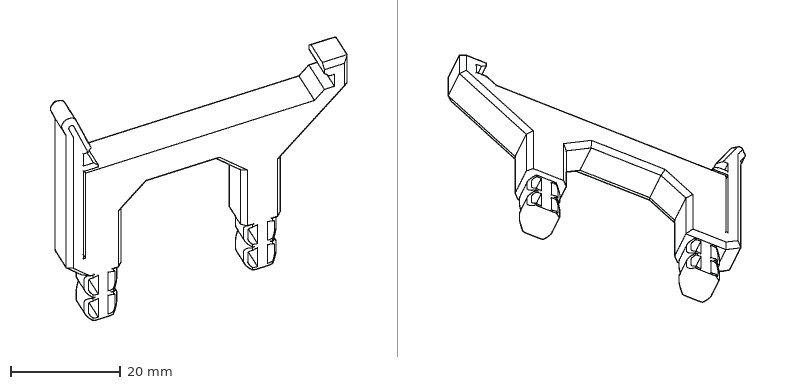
import cadquery as cq
import math


length = 57.3
height = 53.25
thickness = 7.0
bevel = 1.0

lobe_height = 6.0
lobe_overlap = 0.05
lobes_per_plug = 2
plug_width = 6.6
plug_thickness = 6.0
lobe_radius = 2.0
lobe_wall = 0.65
core_width = 2.0
plug_bevel = 1.25

leg_spacing = 32.0
front_leg_center = 7.0
leg_width = 8.0
arch_height = 19.05
arch_corner = 5.0

deck_height = 26.95
hook_wall = 3.0
hook_reach = 5.0
hook_floor = 28.95
hook_ceiling = 32.05
rear_hook_top = 35.0
rear_tooth_bevel = 1.0
rear_ramp_start = 14.4

arm_wall = 3.0
arm_slot = 0.45
arm_slot_floor = 5.0
arm_foot_corner = 3.0
ledge_reach = 6.0
ledge_bottom = 27.5
ledge_bevel = 1.0

tip_radius = 1.5
tip_overhang = 0.9
tip_lean = math.radians(20)

half_thickness = thickness / 2
lobe_pitch = lobe_height - lobe_overlap
plug_length = lobes_per_plug * lobe_pitch
rear_face = length - tip_overhang
rear_leg_center = front_leg_center + leg_spacing
front_leg_inner = front_leg_center + leg_width / 2
rear_leg_inner = rear_leg_center - leg_width / 2
rear_leg_outer = rear_leg_center + leg_width / 2
arch_spring = arch_height - arch_corner
rear_ramp_end = rear_ramp_start + rear_face - rear_leg_outer
ledge_tip_top = hook_floor - ledge_bevel
tip_y = tip_radius - tip_overhang
tip_z = height - plug_length - tip_radius


def tip_point(angle):
    """Point on the round arm tip, with the angle measured from +Y towards +Z."""
    return tip_y + tip_radius * math.cos(angle), tip_z + tip_radius * math.sin(angle)


flank_offset = tip_radius / math.cos(tip_lean)
lean_start = (0, tip_z - (flank_offset - tip_y) / math.tan(tip_lean))
tooth_point = (tip_y + flank_offset + (tip_z - hook_ceiling) * math.tan(tip_lean), hook_ceiling)
tip_inner = tip_point(tip_lean)
tip_crown = tip_point(tip_lean + math.pi / 2)
tip_outer = tip_point(tip_lean + math.pi)

rear_leg_foot = (rear_leg_outer, 0)
rear_leg_heel = (rear_leg_inner, 0)
front_leg_foot = (front_leg_inner, 0)
arm_foot = (arm_foot_corner, 0)
outer_path = [
    (rear_face - hook_reach, rear_hook_top),
    (rear_face, rear_hook_top),
    (rear_face, rear_ramp_end),
    (rear_leg_outer, rear_ramp_start),
    rear_leg_foot,
    rear_leg_heel,
    (rear_leg_inner, arch_spring),
    (rear_leg_inner - arch_corner, arch_height),
    (front_leg_inner + arch_corner, arch_height),
    (front_leg_inner, arch_spring),
    front_leg_foot,
    arm_foot,
    (0, arm_foot_corner),
    lean_start,
    tip_outer,
]

inner_path = [
    tooth_point,
    (arm_wall, hook_ceiling),
    (arm_wall, hook_floor),
    (ledge_reach - ledge_bevel, hook_floor),
    (ledge_reach, ledge_tip_top),
    (ledge_reach, ledge_bottom),
    (arm_wall, ledge_bottom),
    (arm_wall, arm_slot_floor),
    (arm_wall + arm_slot, arm_slot_floor),
    (arm_wall + arm_slot, deck_height),
    (rear_face - hook_reach - hook_floor + deck_height, deck_height),
    (rear_face - hook_reach, hook_floor),
    (rear_face - hook_wall, hook_floor),
    (rear_face - hook_wall, hook_ceiling),
    (rear_face - hook_reach + rear_tooth_bevel, hook_ceiling),
    (rear_face - hook_reach, hook_ceiling + rear_tooth_bevel),
]


def make_plate():
    return (
        cq.Workplane("YZ")
        .polyline(outer_path)
        .threePointArc(tip_crown, tip_inner)
        .lineTo(*tooth_point)
        .polyline(inner_path[1:], includeCurrent=True)
        .close()
        .extrude(half_thickness, both=True)
    )


def bevel_contour(plate):
    """Bevel the outer contour on both sides.

    The rear shoulder stays sharp, and so does the front one on +X, where its plug is flush.
    """
    segments = list(zip(outer_path, outer_path[1:])) + [(tip_inner, tooth_point)]
    edges = []
    for side in (-half_thickness, half_thickness):
        places = [tip_crown]
        for start, end in segments:
            rear_shoulder = start == rear_leg_foot
            flush_shoulder = start == front_leg_foot and side > 0
            if not (rear_shoulder or flush_shoulder):
                places.append(((start[0] + end[0]) / 2, (start[1] + end[1]) / 2))
        for y, z in places:
            edges.append(plate.edges(cq.NearestToPointSelector((side, y, z))).val())
    return plate.newObject(edges).chamfer(bevel)


def make_plug(center_y):
    """Stack of rounded hollow lobes around a solid core, flush with the +X face of the plate.

    The lobes overlap slightly, and the shoulder trims the uppermost one by the same amount.
    """
    hollow_width = plug_width - 2 * lobe_wall
    hollow_height = lobe_height - 2 * lobe_wall
    plug = (
        cq.Workplane("YZ")
        .center(center_y, -plug_length / 2)
        .rect(core_width, plug_length)
        .extrude(plug_thickness)
    )
    for index in range(lobes_per_plug):
        center_z = lobe_height / 2 - (index + 1) * lobe_pitch
        plane = cq.Workplane("YZ").center(center_y, center_z)
        lobe = plane.rect(plug_width, lobe_height).extrude(plug_thickness)
        lobe = lobe.edges("|X").fillet(lobe_radius)
        hollow = plane.rect(hollow_width, hollow_height).extrude(plug_thickness)
        hollow = hollow.edges("|X").fillet(lobe_radius - lobe_wall)
        plug = plug.union(lobe.cut(hollow))
    envelope = (
        cq.Workplane("XY")
        .center(plug_thickness / 2, center_y)
        .rect(plug_thickness, plug_width)
        .extrude(-plug_length)
        .edges("|Z")
        .chamfer(plug_bevel)
    )
    return plug.intersect(envelope).translate((half_thickness - plug_thickness, 0, 0))


result = bevel_contour(make_plate())
for leg_center in (front_leg_center, rear_leg_center):
    result = result.union(make_plug(leg_center))